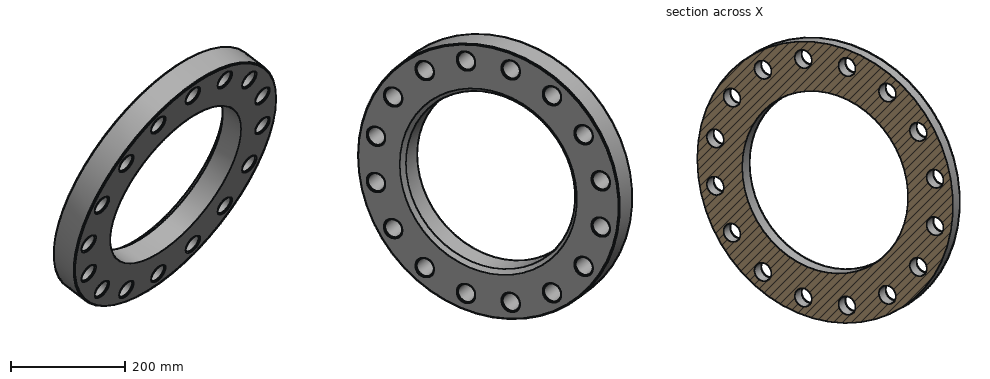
import cadquery as cq

outer_diameter = 515.0
thickness = 52.0
rim_chamfer = 2.0

bore_diameter = 332.0
bore_mouth_diameter = 348.0
bore_chamfer = (bore_mouth_diameter - bore_diameter) / 2

bolt_count = 16
bolt_circle_diameter = 450.0
bolt_hole_diameter = 33.0
bolt_hole_chamfer = 2.0
bolt_start_angle = 360 / bolt_count / 2


def ring_body():
    disc = cq.Workplane("YZ").circle(outer_diameter / 2).extrude(thickness)
    disc = disc.edges().chamfer(rim_chamfer)
    ring = disc.faces("<X").workplane().hole(bore_diameter)
    bore_edge = cq.selectors.RadiusNthSelector(0)
    return ring.faces("<X").edges(bore_edge).chamfer(bore_chamfer)


def bolt_hole_cutters():
    """Through cylinders that flare out at both faces of the ring."""
    axis_start = (0, 0, 0)
    axis_end = (1, 0, 0)
    radius = bolt_hole_diameter / 2
    mouth_radius = radius + bolt_hole_chamfer
    profile = (
        cq.Workplane("XY")
        .moveTo(0, 0)
        .lineTo(0, mouth_radius)
        .lineTo(bolt_hole_chamfer, radius)
        .lineTo(thickness - bolt_hole_chamfer, radius)
        .lineTo(thickness, mouth_radius)
        .lineTo(thickness, 0)
        .close()
    )
    cutter = profile.revolve(360, axis_start, axis_end)
    cutter = cutter.translate((0, bolt_circle_diameter / 2, 0))
    cutters = cq.Workplane("YZ")
    for index in range(bolt_count):
        angle = bolt_start_angle + index * 360 / bolt_count
        cutters = cutters.add(cutter.rotate(axis_start, axis_end, angle))
    return cutters.combine()


result = ring_body().cut(bolt_hole_cutters())